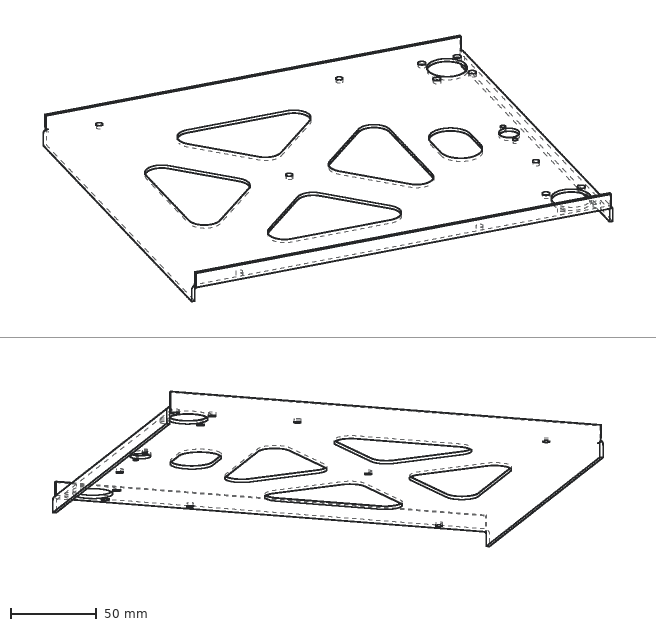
import cadquery as cq

length_x = 225.0
length_y = 267.0
height = 19.0
sheet = 2.0
bend_inner_radius = 0.93
bend_radius = bend_inner_radius + sheet
flange_height = (height + sheet) / 2
corner_inset = sheet

hole_row_y = 114.8
port_x = 92.5
port_diameter = 23.5
port_screw_offset = 11.2
port_screw_diameter = 4.5
connector_diameter = 12.0
connector_screw_x = 9.0
connector_screw_diameter = 3.0
indicator_x = 40.0
mount_diameter = 4.0
mount_x = 104.0
mount_spacing_y = 76.0

slot_y = 81.0
slot_length = 40.5
slot_width = 25.4

window_center_y = -24.5
window_outer = 77.2
window_apex = 21.5
window_radius = 10.0


def flange(width, plate_edge):
    """Bent flange rising along +X, with the plate underside at Z = 0."""
    bend_start = plate_edge - bend_radius
    inner_face = plate_edge - sheet
    profile = (
        cq.Workplane("XZ")
        .moveTo(bend_start, 0)
        .radiusArc((plate_edge, bend_radius), -bend_radius)
        .lineTo(plate_edge, flange_height)
        .lineTo(inner_face, flange_height)
        .lineTo(inner_face, bend_radius)
        .radiusArc((bend_start, sheet), bend_inner_radius)
        .close()
    )
    return profile.extrude(width / 2, both=True)


def folded_sheet():
    body = cq.Workplane("XY").box(
        length_x - 2 * bend_radius,
        length_y - 2 * bend_radius,
        sheet,
        centered=(True, True, False),
    )
    side = flange(length_y - 2 * corner_inset, length_x / 2)
    end = (
        flange(length_x - 2 * corner_inset, length_y / 2)
        .rotate((0, 0, sheet / 2), (1, 0, sheet / 2), 180)
        .rotate((0, 0, 0), (0, 0, 1), 90)
    )
    for bent in (side, end):
        body = body.union(bent)
        body = body.union(bent.rotate((0, 0, 0), (0, 0, 1), 180))
    return body


def round_cutters(points, diameter):
    return cq.Workplane("XY").pushPoints(points).circle(diameter / 2).extrude(sheet)


def window_cutter(angle):
    half_base = window_outer - window_apex
    triangle = (
        cq.Workplane("XY")
        .polyline([(0, window_apex), (half_base, window_outer), (-half_base, window_outer)])
        .close()
        .extrude(sheet)
        .edges("|Z")
        .fillet(window_radius)
    )
    return triangle.rotate((0, 0, 0), (0, 0, 1), angle).translate((0, window_center_y, 0))


ports = [(side * port_x, hole_row_y) for side in (-1, 1)]
port_screws = [
    (x + dx, y + dy)
    for x, y in ports
    for dx in (-port_screw_offset, port_screw_offset)
    for dy in (-port_screw_offset, port_screw_offset)
]
connector_screws = [(side * connector_screw_x, hole_row_y) for side in (-1, 1)]
mounts = [
    (x, window_center_y + dy)
    for x in (-mount_x, mount_x)
    for dy in (-mount_spacing_y, mount_spacing_y)
]
mounts.append((0, window_center_y))

result = folded_sheet()
for hole_points, hole_diameter in (
    (ports, port_diameter),
    (port_screws, port_screw_diameter),
    ([(0, hole_row_y)], connector_diameter),
    (connector_screws, connector_screw_diameter),
    ([(indicator_x, hole_row_y)] + mounts, mount_diameter),
):
    result = result.cut(round_cutters(hole_points, hole_diameter))

cable_slot = cq.Workplane("XY").center(0, slot_y).slot2D(slot_length, slot_width).extrude(sheet)
result = result.cut(cable_slot)

for window_angle in (0, 90, 180, 270):
    result = result.cut(window_cutter(window_angle))